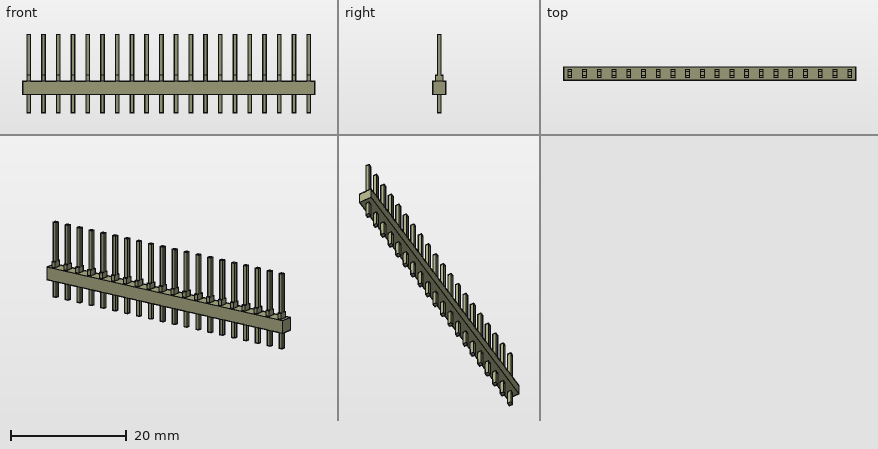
import cadquery as cq

bar_length = 50.4
bar_width = 2.3
bar_height = 2.3

pin_count = 20
pin_row_span = 48.25
pin_pitch = pin_row_span / (pin_count - 1)
pin_side = 0.65
tail_length = 3.15

shoulder_width = 1.35
shoulder_height = 1.0
post_length = 7.05

pin_length = tail_length + bar_height + shoulder_height + post_length


def upright_block(length, width, height, x, base_z):
    """Block centred on (x, 0), rising from base_z."""
    return (
        cq.Workplane("XY")
        .box(length, width, height, centered=(True, True, False))
        .translate((x, 0, base_z))
    )


def make_pin(x):
    """One pin running right through the bar, with its shoulder."""
    shaft = upright_block(pin_side, pin_side, pin_length, x, -tail_length)
    shoulder = upright_block(pin_side, shoulder_width, bar_height + shoulder_height, x, 0)
    return shaft.union(shoulder)


result = upright_block(bar_length, bar_width, bar_height, 0, 0)
first_pin_x = -pin_row_span / 2
for index in range(pin_count):
    result = result.union(make_pin(first_pin_x + index * pin_pitch))